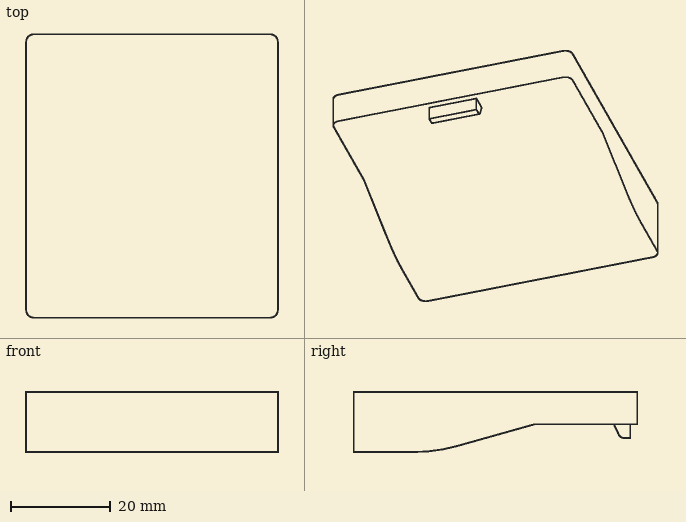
import cadquery as cq
import math

width = 50.53
length = 56.88
height = 12.11
corner_radius = 1.6

thin_height = 6.55
thin_length = 20.65
slope_angle = 15.7
slope_blend_radius = 32

tab_width = 10.0
tab_inset = 1.4
tab_drop = 2.75
tab_root_length = 3.3
tab_lean_angle = 25
tab_tip_radius = 1.3

front_y = -length / 2
back_y = length / 2
step_z = height - thin_height
slope_top_y = back_y - thin_length
slope_foot_y = slope_top_y - step_z / math.tan(math.radians(slope_angle))


def extrude_side_profile(points, extent):
    """Extrude a YZ outline along X, centred on X = 0."""
    return cq.Workplane("YZ").polyline(points).close().extrude(extent / 2, both=True)


def edge_at(y, z):
    """Select the edge parallel to X that passes through (y, z)."""
    return cq.selectors.NearestToPointSelector((0, y, z))


def make_body():
    outline = [
        (front_y, 0),
        (slope_foot_y, 0),
        (slope_top_y, step_z),
        (back_y, step_z),
        (back_y, height),
        (front_y, height),
    ]
    body = extrude_side_profile(outline, width)
    body = body.edges("|Z").fillet(corner_radius)
    return body.edges("|X").edges(edge_at(slope_foot_y, 0)).fillet(slope_blend_radius)


def make_tab():
    tab_back_y = back_y - tab_inset
    tab_root_y = tab_back_y - tab_root_length
    tab_bottom_z = step_z - tab_drop
    tab_tip_y = tab_root_y + tab_drop * math.tan(math.radians(tab_lean_angle))
    outline = [
        (tab_back_y, step_z),
        (tab_back_y, tab_bottom_z),
        (tab_tip_y, tab_bottom_z),
        (tab_root_y, step_z),
    ]
    tab = extrude_side_profile(outline, tab_width)
    return tab.edges("|X").edges(edge_at(tab_tip_y, tab_bottom_z)).fillet(tab_tip_radius)


result = make_body().union(make_tab())